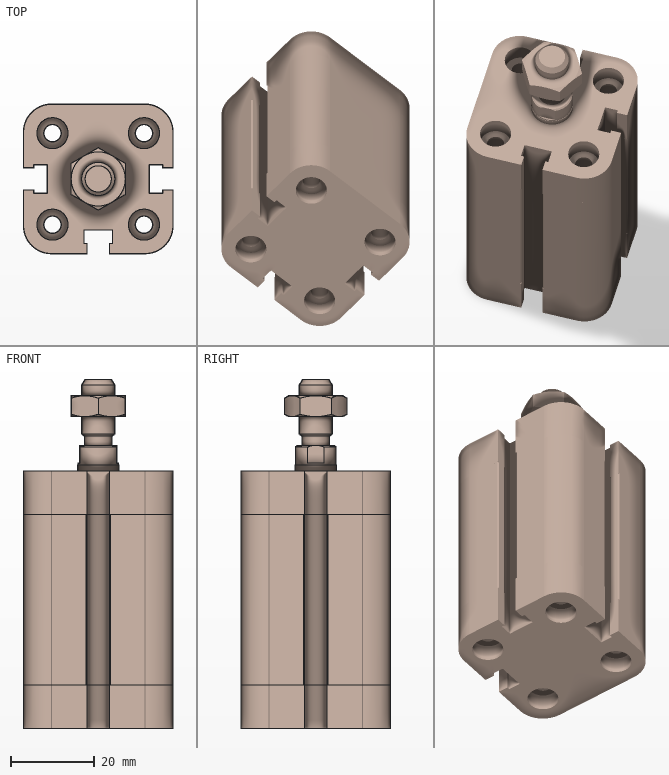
import cadquery as cq
import math

TOTAL_HEIGHT = 84.0
BODY_WIDTH = 36.0
CORNER_RADIUS = 6.8
BODY_HEIGHT = 62.0
CAP_HEIGHT = 10.5
BARREL_HEIGHT = BODY_HEIGHT - 2 * CAP_HEIGHT
BARREL_TOP = CAP_HEIGHT + BARREL_HEIGHT
HALF_WIDTH = BODY_WIDTH / 2

HOLE_SPACING = 22.0
HOLE_DIAMETER = 4.1
COUNTERBORE_DIAMETER = 7.5
COUNTERBORE_DEPTH = 4.45

SLOT_MOUTH_WIDTH = 5.3
SLOT_INNER_WIDTH = 6.8
CAP_LIP_DEPTH = 2.5
BARREL_LIP_DEPTH = 2.3
SLOT_DEPTH = 5.7
SLOT_MOUTH_CHAMFER = 0.3
SLOT_SIDE_ANGLES = (-90, 0, 90)

ROD_DIAMETER = 10.0
COLLAR_DIAMETER = 9.8
NECK_DIAMETER = 6.7
THREAD_DIAMETER = 8.0
ROD_STEP_Z = BODY_HEIGHT + 1.4
COLLAR_TOP = 68.0
COLLAR_CHAMFER = 0.3
THREAD_BOTTOM = 70.4
THREAD_BOTTOM_CHAMFER = 0.5
TIP_DIAMETER = 6.3
TIP_CHAMFER_HEIGHT = 1.35
WRENCH_FLAT_WIDTH = 9.0
WRENCH_FLAT_BOTTOM = 63.8

NUT_ACROSS_FLATS = 13.0
NUT_HEIGHT = 5.0
NUT_BOTTOM = 75.0
NUT_SIDES = 6
NUT_CHAMFER_ANGLE = 30


def slot_cutter(height, lip_depth, mouth_chamfer):
    """T-slot prism opening on the -Y side, with an optional chamfer at its mouth."""
    outer = -HALF_WIDTH
    half_mouth = SLOT_MOUTH_WIDTH / 2
    half_inner = SLOT_INNER_WIDTH / 2
    if mouth_chamfer > 0:
        mouth = [(half_mouth + mouth_chamfer, outer), (half_mouth, outer + mouth_chamfer)]
    else:
        mouth = [(half_mouth, outer)]
    right_side = mouth + [
        (half_mouth, outer + lip_depth),
        (half_inner, outer + lip_depth),
        (half_inner, outer + SLOT_DEPTH),
    ]
    left_side = [(-x, y) for x, y in reversed(right_side)]
    return cq.Workplane("XY").polyline(right_side + left_side).close().extrude(height)


def body_section(height, lip_depth, mouth_chamfer=0):
    """Rounded square block with three T-slots and four through holes, standing on Z = 0."""
    block = (
        cq.Workplane("XY")
        .rect(BODY_WIDTH, BODY_WIDTH)
        .extrude(height)
        .edges("|Z")
        .fillet(CORNER_RADIUS)
        .faces(">Z")
        .workplane(origin=(0, 0, height))
        .rect(HOLE_SPACING, HOLE_SPACING, forConstruction=True)
        .vertices()
        .hole(HOLE_DIAMETER)
    )
    cutter = slot_cutter(height, lip_depth, mouth_chamfer)
    for angle in SLOT_SIDE_ANGLES:
        block = block.cut(cutter.rotate((0, 0, 0), (0, 0, 1), angle))
    return block


def end_cap():
    """End cap with its counterbored outer face on top."""
    counterbores = (
        cq.Workplane("XY", origin=(0, 0, CAP_HEIGHT - COUNTERBORE_DEPTH))
        .rect(HOLE_SPACING, HOLE_SPACING, forConstruction=True)
        .vertices()
        .circle(COUNTERBORE_DIAMETER / 2)
        .extrude(COUNTERBORE_DEPTH)
    )
    return body_section(CAP_HEIGHT, CAP_LIP_DEPTH).cut(counterbores)


def make_barrel():
    """Profiled barrel between the two end caps."""
    profile = body_section(BARREL_HEIGHT, BARREL_LIP_DEPTH, SLOT_MOUTH_CHAMFER)
    return profile.translate((0, 0, CAP_HEIGHT))


def make_rear_cap():
    """End cap turned over, so that its counterbores face down."""
    return end_cap().rotate((0, 0, 0), (0, 1, 0), 180).translate((0, 0, CAP_HEIGHT))


def make_front_cap():
    """Upper end cap with the guide hole for the piston rod."""
    guide_hole = cq.Workplane("XY").circle(ROD_DIAMETER / 2).extrude(CAP_HEIGHT)
    return end_cap().cut(guide_hole).translate((0, 0, BARREL_TOP))


def make_rod():
    """Turned piston rod with a grooved neck, a threaded end and two wrench flats."""
    rod_r = ROD_DIAMETER / 2
    collar_r = COLLAR_DIAMETER / 2
    neck_r = NECK_DIAMETER / 2
    thread_r = THREAD_DIAMETER / 2
    profile = [
        (0, BARREL_TOP),
        (rod_r, BARREL_TOP),
        (rod_r, ROD_STEP_Z),
        (collar_r, ROD_STEP_Z),
        (collar_r, COLLAR_TOP - COLLAR_CHAMFER),
        (collar_r - COLLAR_CHAMFER, COLLAR_TOP),
        (neck_r, COLLAR_TOP),
        (neck_r, THREAD_BOTTOM),
        (thread_r - THREAD_BOTTOM_CHAMFER, THREAD_BOTTOM),
        (thread_r, THREAD_BOTTOM + THREAD_BOTTOM_CHAMFER),
        (thread_r, TOTAL_HEIGHT - TIP_CHAMFER_HEIGHT),
        (TIP_DIAMETER / 2, TOTAL_HEIGHT),
        (0, TOTAL_HEIGHT),
    ]
    rod = cq.Workplane("XZ").polyline(profile).close().revolve(360, (0, 0, 0), (0, 1, 0))
    flat_height = COLLAR_TOP - WRENCH_FLAT_BOTTOM
    flats = (
        cq.Workplane("XY", origin=(0, 0, WRENCH_FLAT_BOTTOM))
        .rect(2 * ROD_DIAMETER, 2 * ROD_DIAMETER)
        .rect(WRENCH_FLAT_WIDTH, 2 * ROD_DIAMETER)
        .extrude(flat_height)
    )
    return rod.cut(flats)


def make_nut():
    """Hexagon nut with corners on the Y axis, chamfered at both ends."""
    flat_r = NUT_ACROSS_FLATS / 2
    corner_r = flat_r / math.cos(math.pi / NUT_SIDES)
    chamfer_height = (corner_r - flat_r) * math.tan(math.radians(NUT_CHAMFER_ANGLE))
    hexagon = (
        cq.Workplane("XY")
        .polygon(NUT_SIDES, 2 * corner_r)
        .extrude(NUT_HEIGHT)
        .rotate((0, 0, 0), (0, 0, 1), 90)
    )
    turned_profile = [
        (0, 0),
        (flat_r, 0),
        (corner_r, chamfer_height),
        (corner_r, NUT_HEIGHT - chamfer_height),
        (flat_r, NUT_HEIGHT),
        (0, NUT_HEIGHT),
    ]
    turned = cq.Workplane("XZ").polyline(turned_profile).close().revolve(360, (0, 0, 0), (0, 1, 0))
    thread_hole = cq.Workplane("XY").circle(THREAD_DIAMETER / 2).extrude(NUT_HEIGHT)
    return hexagon.intersect(turned).cut(thread_hole).translate((0, 0, NUT_BOTTOM))


rear_cap = make_rear_cap()
barrel = make_barrel()
front_cap = make_front_cap()
rod = make_rod()
nut = make_nut()

result = cq.Compound.makeCompound(
    [rear_cap.val(), barrel.val(), front_cap.val(), rod.val(), nut.val()]
)